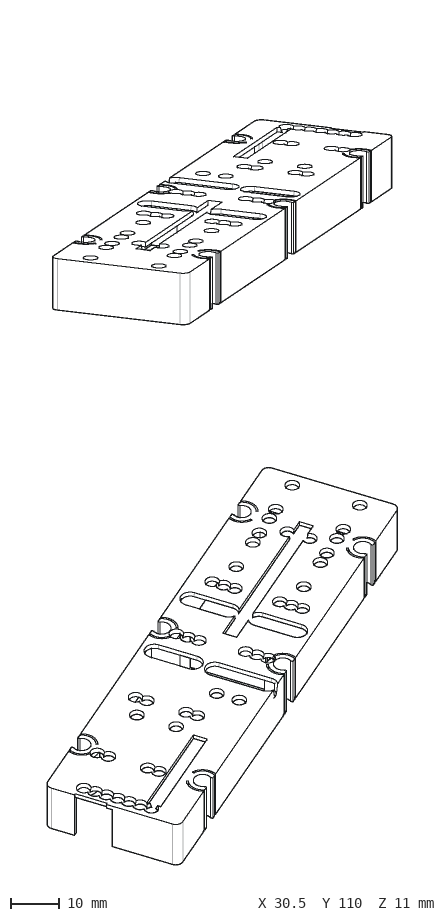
import cadquery as cq
import math

LENGTH_X = 30.48
LENGTH_Y = 110.0
HEIGHT = 11.04
CORNER_RADIUS = 1.6
WALL = 1.0
TOP_THICKNESS = 1.0
CROSS_RIB_LENGTH = 17.0

PITCH = 2.54
HOLE_DIAMETER = 3.0
HOLE_DRAFT = 10.5

SLOT_WIDTH = 4.2
SLOT_DEPTH = 2.6
SLOT_DRAFT = 7.0
UPPER_SLOT_Y = 7.15
LOWER_SLOT_Y = UPPER_SLOT_Y - 17.9
SLOT_INNER_X = 1.25
SLOT_OUTER_X = 14.2
LONG_SLOT_START_X = -15.55
LONG_SLOT_END_X = 0.55

GROOVE_WIDTH = 3.1
CENTRE_GROOVE_TOP_Y = -3.75
CENTRE_GROOVE_BOTTOM_Y = -42.0
SIDE_GROOVE_X = -3 * PITCH
SIDE_GROOVE_TOP_Y = 51.0
SIDE_GROOVE_BOTTOM_Y = 27.8

CLIP_SPACING_Y = 40.0
CLIP_INSET = 1.6
CLIP_BORE_RADIUS = 1.9
CLIP_MOUTH_WIDTH = 3.1
CLIP_OUTER_RADIUS = 2.95
CLIP_GAP = 0.4
CLIP_HOUSING_RADIUS = 3.75
CLIP_STRAP_HALF_ANGLE = 28.0

PORT_START_X = 0.0
PORT_END_X = 8.5
SETBACK_START_X = 1.3
PLATE_SETBACK = 0.4

LEFT_TRIPLE = [-4 * PITCH, -3 * PITCH, -2 * PITCH]
RIGHT_TRIPLE = [2 * PITCH, 3 * PITCH, 4 * PITCH]
OUTER_PAIR = [-3 * PITCH, 3 * PITCH]
SWITCH_INNER_PAIR = [-1.75, 7.1]
SWITCH_ALL = [SWITCH_INNER_PAIR[0] - PITCH, *SWITCH_INNER_PAIR, SWITCH_INNER_PAIR[1] + PITCH]
HOLE_ROWS = [
    (52.25, [i * PITCH for i in range(-3, 4)]),
    (41.1, SWITCH_ALL),
    (26.9, SWITCH_INNER_PAIR),
    (21.95, SWITCH_ALL),
    (13.97, [-4 * PITCH, -2 * PITCH]),
    (0.4, RIGHT_TRIPLE),
    (-0.4, LEFT_TRIPLE),
    (-17.5, LEFT_TRIPLE + RIGHT_TRIPLE),
    (-23.85, OUTER_PAIR),
    (-32.15, OUTER_PAIR),
    (-35.4, OUTER_PAIR),
    (-38.1, [-PITCH, PITCH]),
    (-40.4, OUTER_PAIR),
    (-43.55, OUTER_PAIR),
    (-51.8, OUTER_PAIR),
]


def block(x_min, x_max, y_min, y_max, z_min, z_max):
    """Axis-aligned box given by its limits."""
    size = (x_max - x_min, y_max - y_min, z_max - z_min)
    return cq.Workplane("XY").box(*size, centered=False).translate((x_min, y_min, z_min))


def shell():
    """Rounded box hollowed from below, with a cross rib at the head of the centre groove."""
    body = cq.Workplane("XY").box(LENGTH_X, LENGTH_Y, HEIGHT, centered=(True, True, False))
    body = body.edges("|Z").fillet(CORNER_RADIUS)
    inner_x = LENGTH_X / 2 - WALL
    inner_y = LENGTH_Y / 2 - WALL
    ceiling = HEIGHT - TOP_THICKNESS
    cavity = block(-inner_x, inner_x, -inner_y, inner_y, 0, ceiling)
    cavity = cavity.edges("|Z").fillet(CORNER_RADIUS - WALL)
    rib_half = CROSS_RIB_LENGTH / 2
    rib_start_y = CENTRE_GROOVE_TOP_Y
    cross_rib = block(-rib_half, rib_half, rib_start_y, rib_start_y + WALL, 0, ceiling)
    return body.cut(cavity).union(cross_rib)


def clip_positions():
    """Side (-1 or 1), centre X and centre Y of every clip."""
    positions = []
    for side in (-1, 1):
        for row in (-1, 0, 1):
            positions.append((side, side * (LENGTH_X / 2 - CLIP_INSET), row * CLIP_SPACING_Y))
    return positions


def post(x, y, radius):
    """Full-height cylinder."""
    return cq.Workplane("XY").center(x, y).circle(radius).extrude(HEIGHT)


def add_clip_housings(body):
    """Full-height round bosses around the clips, kept inside the side walls."""
    envelope = block(-LENGTH_X / 2, LENGTH_X / 2, -LENGTH_Y / 2, LENGTH_Y / 2, 0, HEIGHT)
    for _, x, y in clip_positions():
        body = body.union(post(x, y, CLIP_HOUSING_RADIUS).intersect(envelope))
    return body


def clip_strap(side, x, y):
    """Wedge pointing into the part, where the clip stays joined to its housing."""
    reach = 2 * CLIP_HOUSING_RADIUS
    half_width = reach * math.tan(math.radians(CLIP_STRAP_HALF_ANGLE))
    tip = (x, y)
    corner_a = (x - side * reach, y + half_width)
    corner_b = (x - side * reach, y - half_width)
    return cq.Workplane("XY").polyline([tip, corner_a, corner_b]).close().extrude(HEIGHT)


def cut_clips(body):
    """Bore, open mouth and arc-shaped spring gap of every clip."""
    half_mouth = CLIP_MOUTH_WIDTH / 2
    for side, x, y in clip_positions():
        edge = side * LENGTH_X / 2
        mouth = block(min(x, edge), max(x, edge), y - half_mouth, y + half_mouth, 0, HEIGHT)
        gap = post(x, y, CLIP_OUTER_RADIUS + CLIP_GAP).cut(post(x, y, CLIP_OUTER_RADIUS))
        gap = gap.cut(clip_strap(side, x, y))
        body = body.cut(post(x, y, CLIP_BORE_RADIUS)).cut(mouth).cut(gap)
    return body


def top_plane():
    return cq.Workplane("XY", origin=(0, 0, HEIGHT))


def cut_holes(body):
    """Drafted round holes through the top plate."""
    for y, x_positions in HOLE_ROWS:
        for x in x_positions:
            hole = top_plane().center(x, y).circle(HOLE_DIAMETER / 2)
            body = body.cut(hole.extrude(-TOP_THICKNESS, taper=HOLE_DRAFT))
    return body


def cut_round_slots(body):
    """Drafted round-ended slots; the longest breaks through the -X side wall."""
    spans = [
        (LONG_SLOT_START_X, LONG_SLOT_END_X, UPPER_SLOT_Y),
        (SLOT_INNER_X, SLOT_OUTER_X, UPPER_SLOT_Y),
        (-SLOT_OUTER_X, -SLOT_INNER_X, LOWER_SLOT_Y),
        (SLOT_INNER_X, SLOT_OUTER_X, LOWER_SLOT_Y),
    ]
    for x_start, x_end, y in spans:
        slot = top_plane().center((x_start + x_end) / 2, y).slot2D(x_end - x_start, SLOT_WIDTH)
        body = body.cut(slot.extrude(-SLOT_DEPTH, taper=SLOT_DRAFT))
    return body


def cut_grooves(body):
    """Two straight rectangular slots through the top plate."""
    half = GROOVE_WIDTH / 2
    grooves = [
        (0, CENTRE_GROOVE_BOTTOM_Y, CENTRE_GROOVE_TOP_Y),
        (SIDE_GROOVE_X, SIDE_GROOVE_BOTTOM_Y, SIDE_GROOVE_TOP_Y),
    ]
    for x, y_min, y_max in grooves:
        body = body.cut(block(x - half, x + half, y_min, y_max, HEIGHT - TOP_THICKNESS, HEIGHT))
    return body


def cut_port(body):
    """Connector opening from the open bottom up to the top plate, whose edge is set back."""
    end = LENGTH_Y / 2
    opening = block(PORT_START_X, PORT_END_X, end - WALL, end, 0, HEIGHT - TOP_THICKNESS)
    setback = block(SETBACK_START_X, PORT_END_X, end - PLATE_SETBACK, end, 0, HEIGHT)
    return body.cut(opening).cut(setback)


result = shell()
result = add_clip_housings(result)
result = cut_clips(result)
result = cut_holes(result)
result = cut_round_slots(result)
result = cut_grooves(result)
result = cut_port(result)